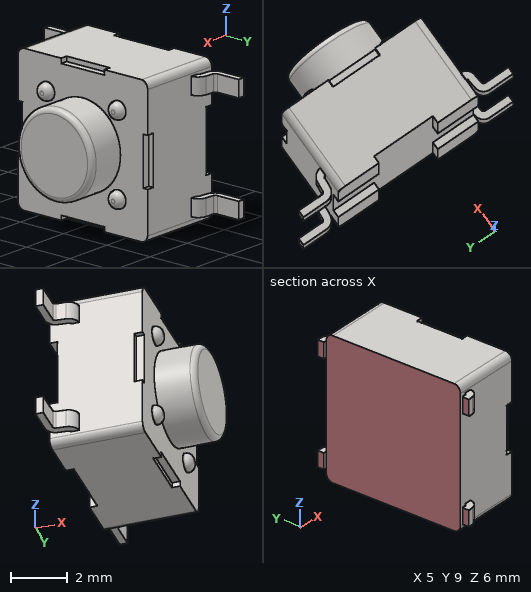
import cadquery as cq
import math

total_x = 5.0
total_y = 9.0
body_width = 6.0
corner_radius = 0.3
housing_top = 3.17
cover_thickness = 0.3

foot_gap = 2.52
foot_height = 0.3

notch_width = 2.0
notch_depth = 0.2

button_diameter = 3.5
button_edge_radius = 0.22
rivet_diameter = 0.7
rivet_height = 0.3
rivet_edge_radius = 0.27
rivet_spacing = 3.29

lead_thickness = 0.3
lead_width = 0.69
lead_spacing = 4.5
lead_pad_length = 1.0
lead_inner_radius = 0.1
lead_reach = 1.11
lead_slant = math.radians(5)
lead_embed = 0.18

cover_top = housing_top + cover_thickness
half_body = body_width / 2


def square_block(start_x, end_x, width):
    """Square plate with rounded corners between two X positions."""
    return (
        cq.Workplane("YZ", origin=(start_x, 0, 0))
        .rect(width, width)
        .extrude(end_x - start_x)
        .edges("|X")
        .fillet(corner_radius)
    )


def make_housing():
    """Housing with a cross-shaped recess that leaves four corner feet."""
    housing = square_block(0, housing_top, body_width)
    for size_y, size_z in ((foot_gap, body_width), (body_width, foot_gap)):
        housing = housing.cut(
            cq.Workplane("XY").box(foot_height, size_y, size_z, centered=(False, True, True))
        )
    return housing


def make_cover():
    """Cover plate with a notch in the middle of each edge."""
    cover = square_block(housing_top, cover_top, body_width)
    notch = cq.Workplane("XY").box(
        cover_thickness, 2 * notch_depth, notch_width, centered=(False, True, True)
    ).translate((housing_top, half_body, 0))
    for turn in range(4):
        cover = cover.cut(notch.rotate((0, 0, 0), (1, 0, 0), 90 * turn))
    return cover


def make_button():
    """Round push button with a rounded outer edge."""
    return (
        cq.Workplane("YZ", origin=(cover_top, 0, 0))
        .circle(button_diameter / 2)
        .extrude(total_x - cover_top)
        .faces(">X")
        .edges()
        .fillet(button_edge_radius)
    )


def make_rivets():
    """Four domed rivet heads around the button."""
    return (
        cq.Workplane("YZ", origin=(cover_top, 0, 0))
        .rect(rivet_spacing, rivet_spacing, forConstruction=True)
        .vertices()
        .circle(rivet_diameter / 2)
        .extrude(rivet_height)
        .faces(">X")
        .edges()
        .fillet(rivet_edge_radius)
    )


def on_circle(center, radius, angle):
    """Point on a circle, with the angle in radians from +X."""
    return (center[0] + radius * math.cos(angle), center[1] + radius * math.sin(angle))


def lead_outline():
    """S-bent strip in the XY plane: flat pad, slanted run, then a bend into the +Y housing wall."""
    inner = lead_inner_radius
    outer = inner + lead_thickness
    pad_end = total_y / 2
    wall_end = half_body - lead_embed

    pad_bend = (outer, pad_end - lead_pad_length)
    wall_bend_x = lead_reach - outer
    drop = (inner + outer + (wall_bend_x - pad_bend[0]) * math.sin(lead_slant)) / math.cos(lead_slant)
    wall_bend = (wall_bend_x, pad_bend[1] - drop)

    pad_exit = 1.5 * math.pi - lead_slant
    pad_middle = (math.pi + pad_exit) / 2
    wall_entry = math.pi / 2 - lead_slant
    wall_middle = wall_entry / 2

    return (
        cq.Workplane("XY")
        .moveTo(0, pad_end)
        .lineTo(0, pad_bend[1])
        .threePointArc(on_circle(pad_bend, outer, pad_middle), on_circle(pad_bend, outer, pad_exit))
        .lineTo(*on_circle(wall_bend, inner, wall_entry))
        .threePointArc(on_circle(wall_bend, inner, wall_middle), on_circle(wall_bend, inner, 0))
        .lineTo(wall_bend_x + inner, wall_end)
        .lineTo(lead_reach, wall_end)
        .lineTo(lead_reach, wall_bend[1])
        .threePointArc(on_circle(wall_bend, outer, wall_middle), on_circle(wall_bend, outer, wall_entry))
        .lineTo(*on_circle(pad_bend, inner, pad_exit))
        .threePointArc(on_circle(pad_bend, inner, pad_middle), on_circle(pad_bend, inner, math.pi))
        .lineTo(lead_thickness, pad_end)
        .close()
    )


def add_leads(part):
    """Two leads on each of the +Y and -Y walls."""
    lead = lead_outline().extrude(lead_width / 2, both=True)
    for one_lead in (lead, lead.mirror("XZ")):
        for side in (-1, 1):
            part = part.union(one_lead.translate((0, 0, side * lead_spacing / 2)))
    return part


result = make_housing().union(make_cover()).union(make_button()).union(make_rivets())
result = add_leads(result)